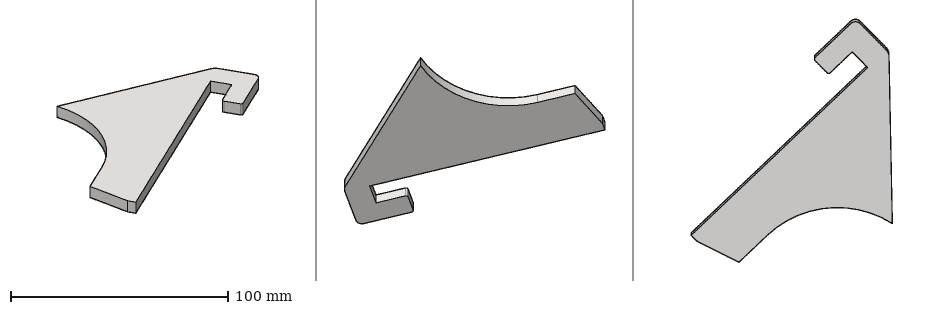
import cadquery as cq
import math

thickness = 6.0
height = 125.0
overall_width = 80.73

slot_width = 10.2
finger_width = 10.0
hook_reach = slot_width + finger_width
hook_roof = 11.9
hook_drop = 27.0
outer_corner_radius = 3.0
finger_tip_radius = 1.0

shoulder_corner_x = -1.9
shoulder_radius = 5.0
tip_x = hook_reach - overall_width
tip_y = 70.3

arc_radius = 46.4
stem_width = 24.4
foot_corner_y = 7.0
foot_flat_width = 3.9

arc_center_x = -stem_width - arc_radius
tip_rise = math.sqrt(arc_radius**2 - (tip_x - arc_center_x) ** 2)
arc_center_y = tip_y - tip_rise
tip_angle = math.atan2(tip_rise, tip_x - arc_center_x)
arc_middle = (
    arc_center_x + arc_radius * math.cos(tip_angle / 2),
    arc_center_y + arc_radius * math.sin(tip_angle / 2),
)


def make_plate():
    """Extrude the hooked bracket outline with sharp corners."""
    return (
        cq.Workplane("XY")
        .moveTo(0, 0)
        .lineTo(0, height - hook_roof)
        .lineTo(slot_width, height - hook_roof)
        .lineTo(slot_width, height - hook_drop)
        .lineTo(hook_reach, height - hook_drop)
        .lineTo(hook_reach, height)
        .lineTo(shoulder_corner_x, height)
        .lineTo(tip_x, tip_y)
        .threePointArc(arc_middle, (-stem_width, arc_center_y))
        .lineTo(-stem_width, foot_corner_y)
        .lineTo(-foot_flat_width, 0)
        .close()
        .extrude(thickness)
    )


def round_corner(plate, x, y, radius):
    """Fillet the upright edge nearest to the given outline corner."""
    corner = cq.selectors.NearestToPointSelector((x, y, thickness / 2))
    return plate.edges("|Z").edges(corner).fillet(radius)


rounded_corners = [
    (shoulder_corner_x, height, shoulder_radius),
    (hook_reach, height, outer_corner_radius),
    (hook_reach, height - hook_drop, finger_tip_radius),
    (slot_width, height - hook_drop, finger_tip_radius),
]

result = make_plate()
for corner_x, corner_y, corner_radius in rounded_corners:
    result = round_corner(result, corner_x, corner_y, corner_radius)